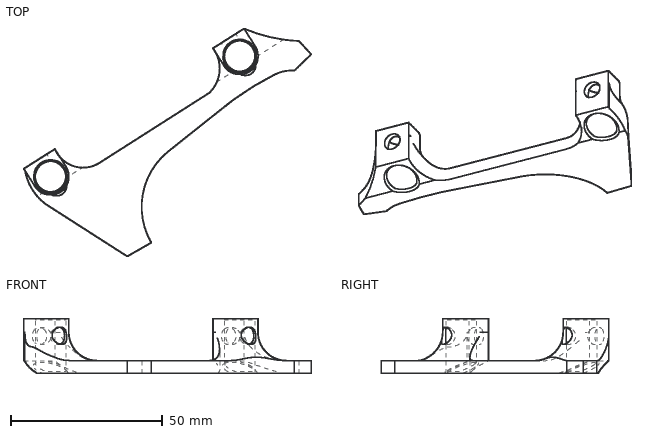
import cadquery as cq
import math

plate_thickness = 4.3
total_height = 18.2

boss_centers = [(8.8, 26.4), (71.4, 66.3)]
boss_angle = 32.4
boss_radius = 6.1
back_distance = 6.9
flat_side_length = 0.8
flare_radius = 9.3
bore_radius = 5.0
bore_chamfer = 0.5
underside_chamfer = 0.8
screw_diameter = 5.7
screw_height = 12.5
slope_run = 10.0

flare_top = plate_thickness + flare_radius
foot_radius = boss_radius + flare_radius


def to_plan(center, along, across):
    """Plan point given relative to a boss, in its rotated directions."""
    angle = math.radians(boss_angle)
    x = center[0] + along * math.cos(angle) - across * math.sin(angle)
    y = center[1] + along * math.sin(angle) + across * math.cos(angle)
    return (x, y)


def place(shape, center):
    """Move a shape from boss coordinates to its place on the plate."""
    return shape.rotate((0, 0, 0), (0, 0, 1), boss_angle).translate((*center, 0))


def plan_outline():
    """Outline of the whole bracket, counter-clockwise from the lower boss."""
    lower, upper = boss_centers
    lower_left = to_plan(lower, -boss_radius, back_distance)
    lower_side_end = to_plan(lower, -boss_radius, back_distance - flat_side_length)
    lower_right = to_plan(lower, boss_radius, back_distance)
    upper_left = to_plan(upper, -boss_radius, back_distance)
    upper_right = to_plan(upper, boss_radius, back_distance)
    return (
        cq.Workplane("XY")
        .moveTo(*lower_left)
        .lineTo(*lower_side_end)
        .threePointArc((4.0, 20.4), (7.2, 17.3))
        .lineTo(34.2, 0)
        .lineTo(42.2, 4.6)
        .threePointArc((39.1, 18.1), (47.5, 34.5))
        .lineTo(63.3, 47.1)
        .threePointArc((73.5, 54.7), (82.9, 60.1))
        .threePointArc((86.1, 61.2), (89.5, 61.4))
        .lineTo(95.1, 66.8)
        .lineTo(91.0, 71.3)
        .threePointArc((80.4, 72.8), upper_right)
        .lineTo(*upper_left)
        .threePointArc((64.7, 62.0), (61.4, 54.2))
        .lineTo(25.5, 31.3)
        .threePointArc((16.6, 29.85), lower_right)
        .close()
    )


def half_boss_profile():
    """Half section of a boss, from its axis out to the foot of the flare."""
    bend = flare_radius * (1 - math.sqrt(0.5))
    bend_point = (boss_radius + bend, plate_thickness + bend)
    return (
        cq.Workplane("XZ")
        .lineTo(foot_radius, 0)
        .lineTo(foot_radius, plate_thickness)
        .threePointArc(bend_point, (boss_radius, flare_top))
        .lineTo(boss_radius, total_height)
        .lineTo(0, total_height)
        .close()
    )


def flared_boss():
    """Round front, square back, both flaring down to the plate."""
    front = half_boss_profile().revolve(360, (0, 0, 0), (0, 1, 0))
    right_back = half_boss_profile().extrude(-back_distance)
    left_back = right_back.mirror("YZ")
    return front.union(right_back).union(left_back)


def boss_cuts():
    """Chamfered bore, cross screw hole and sloped underside."""
    bore = cq.Workplane("XY").circle(bore_radius).extrude(total_height)
    countersink = (
        cq.Workplane("XY", origin=(0, 0, total_height - bore_chamfer))
        .circle(bore_radius)
        .workplane(offset=bore_chamfer)
        .circle(bore_radius + bore_chamfer)
        .loft()
    )
    screw = (
        cq.Workplane("XZ", origin=(0, 0, screw_height))
        .circle(screw_diameter / 2)
        .extrude(foot_radius, both=True)
    )
    slope = (
        cq.Workplane("YZ")
        .moveTo(back_distance, 0)
        .lineTo(back_distance, plate_thickness)
        .lineTo(back_distance - slope_run, 0)
        .close()
        .extrude(foot_radius, both=True)
    )
    return bore.union(countersink).union(screw).union(slope)


result = plan_outline().extrude(plate_thickness)
column = plan_outline().extrude(flare_top)

for center in boss_centers:
    boss = place(flared_boss(), center)
    head_zone = (
        cq.Workplane("XY", origin=(*center, flare_top))
        .circle(foot_radius)
        .extrude(total_height - flare_top)
    )
    result = result.union(boss.intersect(column)).union(boss.intersect(head_zone))

for center in boss_centers:
    result = result.cut(place(boss_cuts(), center))

mouth_reach = bore_radius + bore_chamfer

for center in boss_centers:
    mouth_edges = cq.selectors.BoxSelector(
        (center[0] - mouth_reach, center[1] - mouth_reach, -0.95),
        (center[0] + mouth_reach, center[1] + mouth_reach, plate_thickness),
        boundingbox=True,
    )
    result = result.edges(mouth_edges).chamfer(underside_chamfer)